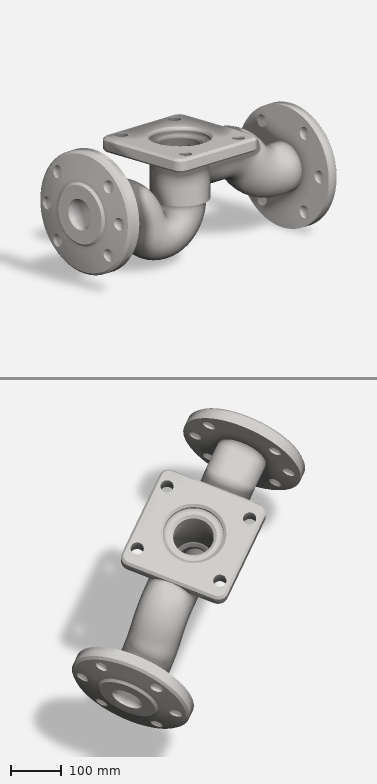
import cadquery as cq
import math


overall_length = 608.05
outlet_face_y = -280.0
inlet_face_y = outlet_face_y + overall_length
inlet_axis_z = -27.01
cover_top_z = 99.0
inlet_entry_z = 40.0

pipe_diameter = 104.0
pipe_bore = 64.0
trap_bend_radius = 60.0
outlet_bend_radius = 80.0
inlet_bend_radius = 90.0
inlet_bend_angle = 50.0
inlet_upper_bend_y = 111.5

flange_diameter = 252.0
flange_depth = 39.0
flange_rim_depth = 22.0
flange_edge_width = 5.0
flange_edge_depth = 5.0
raised_face_diameter = 120.0
raised_face_foot_diameter = 130.0
raised_face_height = 5.0
bolt_hole_diameter = 26.0
bolt_circle_radius = 100.0
outlet_bolt_angle = 45.0
inlet_bolt_angle = 54.0

chamber_diameter = 120.0
chamber_bore = 80.0
chamber_bottom_z = -27.0
chamber_mouth_diameter = 92.0
chamber_mouth_depth = 5.0
cover_width = 226.0
cover_thickness = 29.0
cover_corner_radius = 20.0
cover_chamfer = 5.0
cover_bolt_spacing_x = 177.0
cover_bolt_spacing_y = 148.0
gasket_diameter = 120.0
gasket_mouth_diameter = 130.0
gasket_depth = 10.0
gasket_chamfer_depth = 5.0
seat_diameter = 74.0
seat_thickness = 5.0


def cylinder_z(diameter, bottom_z, top_z):
    """Upright cylinder on the chamber axis."""
    return cq.Workplane("XY").workplane(offset=bottom_z).circle(diameter / 2).extrude(top_z - bottom_z)


def cone_z(bottom_diameter, top_diameter, bottom_z, top_z):
    """Upright cone frustum on the chamber axis."""
    return cq.Workplane("XY").add(
        cq.Solid.makeCone(
            bottom_diameter / 2,
            top_diameter / 2,
            top_z - bottom_z,
            pnt=cq.Vector(0, 0, bottom_z),
        )
    )


def on_arc(center, radius, angle):
    """Point (y, z) on a circle, the angle in degrees from +Y towards +Z."""
    turn = math.radians(angle)
    return (center[0] + radius * math.cos(turn), center[1] + radius * math.sin(turn))


def inlet_path():
    """S-bend from the chamber axis down to the inlet flange face."""
    upper_center = (inlet_upper_bend_y, inlet_entry_z - inlet_bend_radius)
    drop = inlet_entry_z - inlet_axis_z
    center_distance = drop / (1 - math.cos(math.radians(inlet_bend_angle)))
    lower_center = on_arc(upper_center, center_distance, 90 - inlet_bend_angle)
    return (
        cq.Workplane("YZ")
        .moveTo(0, inlet_entry_z)
        .lineTo(inlet_upper_bend_y, inlet_entry_z)
        .threePointArc(
            on_arc(upper_center, inlet_bend_radius, 90 - inlet_bend_angle / 2),
            on_arc(upper_center, inlet_bend_radius, 90 - inlet_bend_angle),
        )
        .tangentArcPoint((lower_center[0], inlet_axis_z), relative=False)
        .lineTo(inlet_face_y, inlet_axis_z)
    )


def outlet_path():
    """U-bend below the chamber, then a reverse bend to the outlet flange face."""
    trap_center = (-trap_bend_radius, chamber_bottom_z)
    dip = math.degrees(
        math.asin((chamber_bottom_z + outlet_bend_radius) / (trap_bend_radius + outlet_bend_radius))
    )
    outer_center = on_arc(trap_center, trap_bend_radius + outlet_bend_radius, 180 + dip)
    return (
        cq.Workplane("YZ")
        .moveTo(0, chamber_bottom_z)
        .threePointArc(
            on_arc(trap_center, trap_bend_radius, (dip - 180) / 2),
            on_arc(trap_center, trap_bend_radius, 180 + dip),
        )
        .threePointArc(
            on_arc(outer_center, outlet_bend_radius, (90 + dip) / 2),
            on_arc(outer_center, outlet_bend_radius, 90),
        )
        .lineTo(outlet_face_y, 0)
    )


def inlet_run(diameter):
    """Solid inlet pipe from the chamber axis to the inlet flange face."""
    start = cq.Workplane("XZ", origin=(0, 0, inlet_entry_z))
    return start.circle(diameter / 2).sweep(inlet_path())


def outlet_run(diameter):
    """Solid outlet pipe from the chamber floor to the outlet flange face."""
    start = cq.Workplane("XY", origin=(0, 0, chamber_bottom_z))
    return start.circle(diameter / 2).sweep(outlet_path())


def end_flange(face_y, axis_z, outward, bolt_angle):
    """Round flange with a slightly conical front, a raised face and six bolt holes."""
    radius = flange_diameter / 2
    back_y = face_y - outward * flange_depth
    profile = [
        (0, 0),
        (radius, 0),
        (radius, flange_rim_depth),
        (radius - flange_edge_width, flange_rim_depth + flange_edge_depth),
        (raised_face_foot_diameter / 2, flange_depth - raised_face_height),
        (raised_face_diameter / 2, flange_depth),
        (0, flange_depth),
    ]
    back_plane = cq.Plane(origin=(0, back_y, axis_z), xDir=(1, 0, 0), normal=(0, outward, 0))
    side_plane = cq.Plane(origin=(0, back_y, axis_z), xDir=(1, 0, 0), normal=(0, 0, outward))
    flange = cq.Workplane(side_plane).polyline(profile).close().revolve(360, (0, 0), (0, 1))
    angles = [0, bolt_angle, 180 - bolt_angle, 180, 180 + bolt_angle, -bolt_angle]
    points = [on_arc((0, 0), bolt_circle_radius, angle) for angle in angles]
    holes = cq.Workplane(back_plane).pushPoints(points).circle(bolt_hole_diameter / 2).extrude(flange_depth)
    return flange.cut(holes)


def cover_flange():
    """Square flange on top of the chamber with four bolt holes."""
    plate = (
        cq.Workplane("XY")
        .workplane(offset=cover_top_z - cover_thickness)
        .rect(cover_width, cover_width)
        .extrude(cover_thickness)
        .edges("|Z")
        .fillet(cover_corner_radius)
        .faces("<Z or >Z")
        .chamfer(cover_chamfer)
    )
    return (
        plate.faces(">Z")
        .workplane(origin=(0, 0, 0))
        .rect(cover_bolt_spacing_x, cover_bolt_spacing_y, forConstruction=True)
        .vertices()
        .hole(bolt_hole_diameter)
    )


def chamber_cavity():
    """Stepped bore of the chamber, from the gasket recess down to the valve seat."""
    gasket_floor_z = cover_top_z - gasket_depth
    gasket_chamfer_z = cover_top_z - gasket_chamfer_depth
    mouth_floor_z = gasket_floor_z - chamber_mouth_depth
    seat_top_z = chamber_bottom_z + seat_thickness
    seat = cone_z(pipe_bore, seat_diameter, chamber_bottom_z, seat_top_z)
    bore = cylinder_z(chamber_bore, seat_top_z, mouth_floor_z)
    mouth = cone_z(chamber_bore, chamber_mouth_diameter, mouth_floor_z, gasket_floor_z)
    gasket = cylinder_z(gasket_diameter, gasket_floor_z, gasket_chamfer_z)
    gasket_edge = cone_z(gasket_diameter, gasket_mouth_diameter, gasket_chamfer_z, cover_top_z)
    return seat.union(bore).union(mouth).union(gasket).union(gasket_edge)


body = (
    cylinder_z(chamber_diameter, chamber_bottom_z, cover_top_z - cover_thickness)
    .union(cover_flange())
    .union(inlet_run(pipe_diameter))
    .union(outlet_run(pipe_diameter))
    .union(end_flange(inlet_face_y, inlet_axis_z, 1, inlet_bolt_angle))
    .union(end_flange(outlet_face_y, 0, -1, outlet_bolt_angle))
)
result = body.cut(inlet_run(pipe_bore)).cut(outlet_run(pipe_bore)).cut(chamber_cavity())